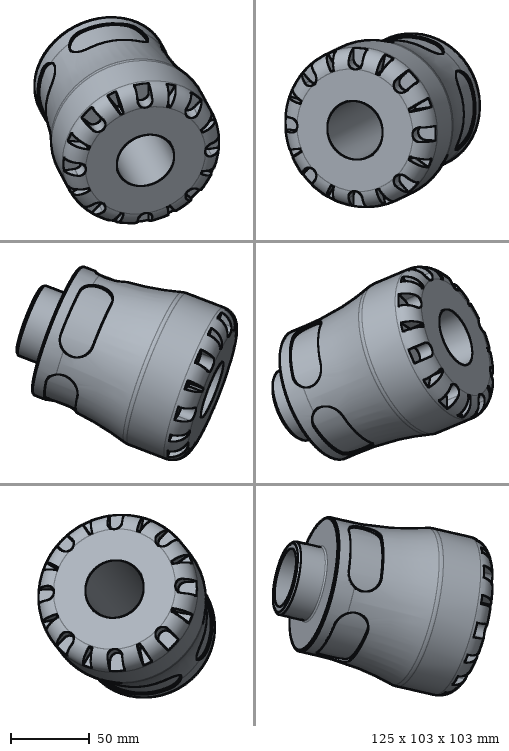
import cadquery as cq
import math

length = 125.0
bore_radius = 37.8 / 2

spigot_radius = 47.8 / 2
spigot_chamfer = 1.5
spigot_root_fillet = 1.0

collar_start = 19.0
collar_radius = 87.55 / 2
collar_chamfer = 1.0

flare_start = 33.0
blend_end = 87.7
blend_radius = 10.0

head_radius = 103.0 / 2
rim_fillet = 12.0
rim_face_radius = head_radius - rim_fillet

recess_count = 4
recess_width = 22.0
recess_center = 38.65
recess_floor_radius = 42.5
recess_half_angle = 21.0

notch_pairs = 8
notch_start = 115.3
slot_width = 9.5
slot_floor_radius = 39.3
groove_floor_radius = 40.2
groove_floor_width = 2.0
groove_mouth_width = 6.1

clearance = 5.0


def point_on_arc(center, radius, angle):
    """Point at the given angle, in degrees, on a circle."""
    turn = math.radians(angle)
    return (center[0] + radius * math.cos(turn), center[1] + radius * math.sin(turn))


def make_body():
    """Revolve the half profile, drawn with X along the axis and Y as the radius."""
    run = blend_end - flare_start
    rise = head_radius - collar_radius
    flare_radius = (run**2 + rise**2) / (2 * rise) - blend_radius
    flare_center = (flare_start, collar_radius + flare_radius)
    blend_center = (blend_end, head_radius - blend_radius)
    flare_sweep = math.degrees(math.asin(run / (flare_radius + blend_radius)))
    flare_end = point_on_arc(flare_center, flare_radius, -90 + flare_sweep)

    root_center = (collar_start - spigot_root_fillet, spigot_radius + spigot_root_fillet)
    rim_center = (length - rim_fillet, rim_face_radius)

    profile = (
        cq.Workplane("XY")
        .moveTo(0, bore_radius)
        .lineTo(0, spigot_radius - spigot_chamfer)
        .lineTo(spigot_chamfer, spigot_radius)
        .lineTo(root_center[0], spigot_radius)
        .threePointArc(
            point_on_arc(root_center, spigot_root_fillet, -45),
            (collar_start, root_center[1]),
        )
        .lineTo(collar_start, collar_radius - collar_chamfer)
        .lineTo(collar_start + collar_chamfer, collar_radius)
        .lineTo(flare_start, collar_radius)
        .threePointArc(point_on_arc(flare_center, flare_radius, -90 + flare_sweep / 2), flare_end)
        .threePointArc(
            point_on_arc(blend_center, blend_radius, 90 + flare_sweep / 2),
            (blend_end, head_radius),
        )
        .lineTo(rim_center[0], head_radius)
        .threePointArc(point_on_arc(rim_center, rim_fillet, 45), (length, rim_face_radius))
        .lineTo(length, bore_radius)
        .close()
    )
    return profile.revolve(360, (0, 0, 0), (1, 0, 0))


def make_recess():
    """Cutter for one rounded recess facing +Z, with a floor concentric with the body."""
    reach = head_radius + clearance
    half_width = recess_width / 2
    side_reach = reach * math.tan(math.radians(recess_half_angle))

    cutter = (
        cq.Workplane("YZ", origin=(recess_center - half_width, 0, 0))
        .polyline([(0, 0), (side_reach, reach), (-side_reach, reach)])
        .close()
        .extrude(recess_width)
    )
    for side in (-1, 1):
        rounded_end = (
            cq.Workplane("XY", origin=(recess_center, 0, 0))
            .moveTo(-half_width, 0)
            .threePointArc((0, side * half_width), (half_width, 0))
            .close()
            .extrude(reach / math.cos(math.radians(recess_half_angle)))
            .rotate((0, 0, 0), (1, 0, 0), -side * recess_half_angle)
        )
        cutter = cutter.union(rounded_end)
    core = cq.Workplane("YZ").circle(recess_floor_radius).extrude(length)
    return cutter.cut(core)


def make_slot():
    """Cutter for one rim slot facing +Z, with parallel sides and a round floor."""
    half_width = slot_width / 2
    round_radius = slot_floor_radius + half_width
    top = head_radius + clearance
    return (
        cq.Workplane("YZ", origin=(notch_start, 0, 0))
        .moveTo(-half_width, top)
        .lineTo(-half_width, round_radius)
        .threePointArc((0, slot_floor_radius), (half_width, round_radius))
        .lineTo(half_width, top)
        .close()
        .extrude(length - notch_start + clearance)
    )


def make_groove():
    """Cutter for one rim groove facing +Z, with a flat floor and sides that open outwards."""
    half_floor = groove_floor_width / 2
    side_slope = (groove_mouth_width / 2 - half_floor) / (head_radius - groove_floor_radius)
    top = head_radius + clearance
    half_top = half_floor + side_slope * (top - groove_floor_radius)
    return (
        cq.Workplane("YZ", origin=(notch_start, 0, 0))
        .moveTo(-half_top, top)
        .lineTo(-half_floor, groove_floor_radius)
        .lineTo(half_floor, groove_floor_radius)
        .lineTo(half_top, top)
        .close()
        .extrude(length - notch_start + clearance)
    )


def cut_around(body, cutter, count, first_angle=0):
    """Cut equally spaced copies of a cutter around the X axis."""
    for index in range(count):
        angle = first_angle + index * 360 / count
        body = body.cut(cutter.rotate((0, 0, 0), (1, 0, 0), angle))
    return body


result = make_body()
result = cut_around(result, make_recess(), recess_count)
result = cut_around(result, make_slot(), notch_pairs)
result = cut_around(result, make_groove(), notch_pairs, 180 / notch_pairs)